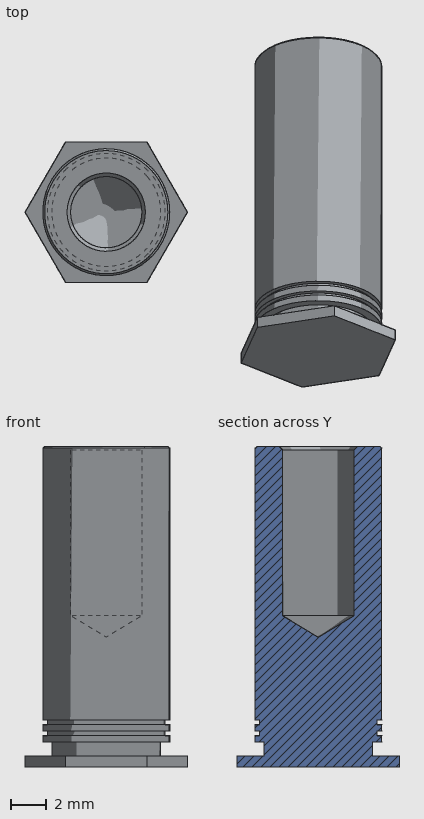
import cadquery as cq
import math

total_height = 18.0
hex_across_flats = 7.9
hex_across_corners = hex_across_flats / math.cos(math.radians(30))

body_diameter = 7.13
groove_diameter = 6.6
neck_diameter = 6.1
bore_diameter = 4.0

head_top = 0.63
neck_top = 1.4
ring_height = 0.36
groove_height = 0.25
groove_count = 2

bore_depth = 9.5
drill_point_angle = 118.0
mouth_chamfer = 0.2
rim_chamfer = 0.1


def make_head():
    """Hexagonal head with two corners on the X axis."""
    return cq.Workplane("XY").polygon(6, hex_across_corners).extrude(head_top)


def make_barrel():
    """Cylindrical barrel with a chamfered top rim, standing on the head."""
    barrel = cq.Workplane("XY").workplane(offset=head_top).circle(body_diameter / 2)
    return barrel.extrude(total_height - head_top).faces(">Z").edges().chamfer(rim_chamfer)


def make_groove(bottom, height, diameter):
    """Ring of material to remove, leaving a core of the given diameter."""
    groove = cq.Workplane("XY").workplane(offset=bottom)
    return groove.circle(body_diameter).circle(diameter / 2).extrude(height)


def make_bore():
    """Blind drilled hole with a chamfered mouth and a conical end."""
    bore_radius = bore_diameter / 2
    mouth_radius = bore_radius + mouth_chamfer
    point_height = bore_radius / math.tan(math.radians(drill_point_angle / 2))
    bore_end = total_height - bore_depth
    profile = (
        cq.Workplane("XZ")
        .moveTo(0, total_height)
        .lineTo(mouth_radius, total_height)
        .lineTo(bore_radius, total_height - mouth_chamfer)
        .lineTo(bore_radius, bore_end)
        .lineTo(0, bore_end - point_height)
        .close()
    )
    return profile.revolve(360, (0, 0, 0), (0, 1, 0))


barrel = make_barrel().cut(make_groove(head_top, neck_top - head_top, neck_diameter))

for index in range(groove_count):
    groove_bottom = neck_top + ring_height + index * (ring_height + groove_height)
    barrel = barrel.cut(make_groove(groove_bottom, groove_height, groove_diameter))

result = make_head().union(barrel).cut(make_bore())